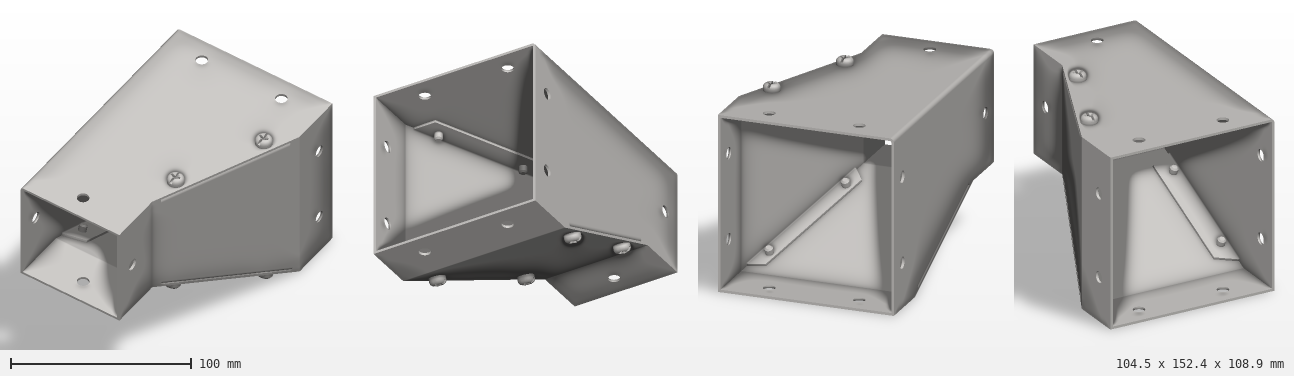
import cadquery as cq
import math

length = 152.4
wide = 104.5
narrow = 66.5
neck = 32.0
sheet = 1.5
inner_bend = 0.8
outer_bend = inner_bend + sheet
drop = wide - narrow

hole_diameter = 7.0
hole_end_distance = 12.8
side_hole_spacing = 50.7
top_hole_spacing = 53.5

flange_width = 15.0
corner_flange_width = 10.7
flange_inset = 5.8
flange_chamfer = 5.3
screw_inset = 19.4
screw_edge_distance = 6.4
shank_diameter = 4.9
shank_length = 7.3
tip_chamfer = 0.9

head_diameter = 9.8
head_height = 4.4
head_rim = 2.0
slot_width = 1.5
slot_depth = 2.1
cross_width = 1.4
cross_span = 6.0
pocket_depth = 1.8
pocket_taper = 45.0

slope_run = length - 2 * neck
slope_angle = math.atan2(drop, slope_run)
corner_shift = sheet * math.tan(slope_angle / 2)

UP = cq.Vector(0, 0, 1)
LEFT = cq.Vector(-1, 0, 0)
BACK = cq.Vector(0, 1, 0)
WALL_OUT = cq.Vector(math.cos(slope_angle), -math.sin(slope_angle), 0)
FLOOR_OUT = cq.Vector(0, -math.sin(slope_angle), -math.cos(slope_angle))


def sloping_edge(offset):
    """(along Y, across) points of the sloping side, moved inward by offset sheet thicknesses."""
    shift = offset * corner_shift
    inward = offset * sheet
    return [
        (0, narrow - inward),
        (neck + shift, narrow - inward),
        (length - neck + shift, wide - inward),
        (length, wide - inward),
    ]


def bend_radii(offset):
    """Bend radii at the narrow and wide ends of the slope, on the outer (0) or inner (1) face."""
    return (inner_bend + offset * sheet, outer_bend - offset * sheet)


def plan_prism(offset):
    """Everything inside the sloping right side, at any height."""
    points = [(0, 0)] + [(across, y) for y, across in sloping_edge(offset)] + [(0, length)]
    prism = cq.Workplane("XY").polyline(points).close().extrude(wide)
    for (y, across), radius in zip(sloping_edge(offset)[1:3], bend_radii(offset)):
        prism = prism.edges(cq.selectors.NearestToPointSelector((across, y, wide / 2))).fillet(radius)
    return prism


def elevation_prism(offset):
    """Everything above the sloping floor, at any width."""
    points = [(0, wide)] + [(y, wide - across) for y, across in sloping_edge(offset)] + [(length, wide)]
    prism = cq.Workplane("YZ").polyline(points).close().extrude(wide)
    for (y, across), radius in zip(sloping_edge(offset)[1:3], bend_radii(offset)):
        prism = prism.edges(cq.selectors.NearestToPointSelector((wide / 2, y, wide - across))).fillet(radius)
    return prism


def drill_duct(body):
    """Joint holes through opposite sides at both ends."""
    near = hole_end_distance
    far = length - hole_end_distance
    across = [
        (narrow / 2, near),
        (wide / 2 - top_hole_spacing / 2, far),
        (wide / 2 + top_hole_spacing / 2, far),
    ]
    upright = [
        (near, wide - narrow / 2),
        (far, wide / 2 - side_hole_spacing / 2),
        (far, wide / 2 + side_hole_spacing / 2),
    ]
    body = body.cut(cq.Workplane("XY").pushPoints(across).circle(hole_diameter / 2).extrude(wide))
    return body.cut(cq.Workplane("YZ").pushPoints(upright).circle(hole_diameter / 2).extrude(wide))


class Joint:
    """A sloping edge where a side is flanged against a mating sheet.

    start, end: sharp outer corner of the bend at both ends of the slope, on the mating sheet's inner face
    mate_out: outward normal of the mating sheet
    side_out: outward normal of the flanged side
    width: from the sharp corner to the flange's free edge
    """

    def __init__(self, start, end, mate_out, side_out, width):
        run = end - start
        self.width = width
        self.span = run.Length
        self.run = run.normalized()
        self.start = start
        self.mate_out = mate_out
        self.inward = mate_out.cross(self.run)
        if self.inward.dot(side_out) > 0:
            self.inward = self.inward * -1
        self.opening = math.pi - mate_out.getAngle(side_out)

    def at(self, along, inward, outward=0.0):
        """Point at these distances along the edge, into the flange and out through the mating sheet."""
        return self.start + self.run * along + self.inward * inward + self.mate_out * outward

    def section_plane(self, along):
        """Plane across the edge: x goes into the flange, y goes toward the flanged side."""
        normal = self.inward.cross(self.mate_out * -1)
        return cq.Plane(self.at(along, 0), self.inward, normal)

    def screw_places(self):
        """Seats of the screw heads on the mating sheet's outer face."""
        return [
            self.at(along, screw_edge_distance, sheet)
            for along in (screw_inset, self.span - screw_inset)
        ]


def add_flange(side, joint):
    """Bend the edge of a side inward along a joint and drill it for the screws."""
    tangent = outer_bend / math.tan(joint.opening / 2)
    toward_side = cq.Vector(math.cos(joint.opening), math.sin(joint.opening))
    side_in = cq.Vector(math.sin(joint.opening), -math.cos(joint.opening))
    bisector = cq.Vector(math.cos(joint.opening / 2), math.sin(joint.opening / 2))
    centre_distance = outer_bend / math.sin(joint.opening / 2)

    def flat(vector):
        return (vector.x, vector.y)

    outer_side = toward_side * tangent
    inner_side = outer_side + side_in * sheet
    outer_middle = bisector * (centre_distance - outer_bend)
    inner_middle = bisector * (centre_distance - inner_bend)

    plane = joint.section_plane(flange_inset)
    reach = (joint.span - 2 * flange_inset) * plane.zDir.dot(joint.run)
    bend_centre = bisector * centre_distance
    corner = (
        cq.Workplane(plane)
        .polyline([(0, 0), flat(outer_side), flat(inner_side), flat(bend_centre), (tangent, 0)])
        .close()
        .extrude(reach)
    )
    bend = (
        cq.Workplane(plane)
        .moveTo(*flat(outer_side))
        .threePointArc(flat(outer_middle), (tangent, 0))
        .lineTo(tangent, sheet)
        .threePointArc(flat(inner_middle), flat(inner_side))
        .close()
        .extrude(reach)
    )
    outline = [
        joint.at(flange_inset, tangent),
        joint.at(flange_inset + flange_chamfer, joint.width),
        joint.at(joint.span - flange_inset - flange_chamfer, joint.width),
        joint.at(joint.span - flange_inset, tangent),
    ]
    face = cq.Face.makeFromWires(cq.Wire.makePolygon(outline, close=True))
    leaf = cq.Workplane(cq.Solid.extrudeLinear(face, joint.mate_out * -sheet))
    return drill_screws(side.cut(corner).union(bend).union(leaf), joint)


def drill_screws(body, joint):
    """Clear the screw shanks through both layers of a joint."""
    for place in joint.screw_places():
        cutter = cq.Solid.makeCylinder(shank_diameter / 2, 2 * sheet, place, joint.mate_out * -1)
        body = body.cut(cq.Workplane(cutter))
    return body


def make_shell(left_joint, top_joint):
    """Left side and top, folded from one sheet."""
    block = cq.Workplane("XY").box(wide, length, wide, centered=False)
    folded_edge = "|Y and <X and >Z"
    shell = block.edges(folded_edge).fillet(outer_bend)
    hollow = block.edges(folded_edge).fillet(inner_bend).translate((sheet, 0, -sheet))
    shell = shell.cut(hollow).intersect(plan_prism(0)).intersect(elevation_prism(1))
    shell = add_flange(shell, left_joint)
    return drill_duct(drill_screws(shell, top_joint))


def make_floor(joints):
    """Sloping bottom sheet."""
    floor = elevation_prism(0).cut(elevation_prism(1)).intersect(plan_prism(0))
    for joint in joints:
        floor = drill_screws(floor, joint)
    return drill_duct(floor)


def make_wall(joints):
    """Sloping right side, between the floor and the top."""
    below_top = cq.Workplane("XY").box(wide, length, wide - sheet, centered=False)
    wall = plan_prism(0).cut(plan_prism(1)).intersect(elevation_prism(1)).intersect(below_top)
    for joint in joints:
        wall = add_flange(wall, joint)
    return drill_duct(wall)


def make_screw(place, out, slot_direction):
    """Pan head screw with a slot and a cross recess, its head seated at place."""
    rim = head_diameter / 2
    shoulder = head_height - head_rim
    crown = rim - shoulder
    half_way = math.sqrt(0.5) * shoulder
    shank = shank_diameter / 2
    screw = (
        cq.Workplane("XZ")
        .moveTo(0, head_height)
        .lineTo(crown, head_height)
        .threePointArc((crown + half_way, head_rim + half_way), (rim, head_rim))
        .lineTo(rim, 0)
        .lineTo(shank, 0)
        .lineTo(shank, tip_chamfer - shank_length)
        .lineTo(shank - tip_chamfer, -shank_length)
        .lineTo(0, -shank_length)
        .close()
        .revolve(360, (0, 0), (0, 1))
    )
    top = cq.Workplane("XY", origin=(0, 0, head_height))
    slot = top.rect(head_diameter, slot_width).extrude(-slot_depth)
    cross = top.rect(cross_width, cross_span).extrude(-slot_depth)
    pocket = top.polygon(4, cross_span).extrude(-pocket_depth, taper=pocket_taper)
    screw = screw.cut(slot).cut(cross).cut(pocket)
    return screw.val().moved(cq.Location(cq.Plane(place, slot_direction, out)))


outer_ends = sloping_edge(0)[1:3]
inner_ends = sloping_edge(1)[1:3]
widening = drop / slope_run

left_ends = [cq.Vector(0, y, wide - across) for y, across in inner_ends]
top_ends = [cq.Vector(across, y, wide - sheet) for y, across in outer_ends]
corner_ends = [cq.Vector(narrow + widening * (y - neck), y, wide - across) for y, across in inner_ends]

left_joint = Joint(*left_ends, FLOOR_OUT, LEFT, flange_width)
top_joint = Joint(*top_ends, UP, WALL_OUT, flange_width)
corner_joint = Joint(*corner_ends, FLOOR_OUT, WALL_OUT, corner_flange_width)

shell = make_shell(left_joint, top_joint)
floor = make_floor([left_joint, corner_joint])
wall = make_wall([top_joint, corner_joint])
screws = []
for joint, slot_direction in [(left_joint, LEFT), (corner_joint, LEFT), (top_joint, BACK)]:
    for place in joint.screw_places():
        screws.append(make_screw(place, joint.mate_out, slot_direction))

sheets = [body.solids().val() for body in (shell, floor, wall)]
result = cq.Compound.makeCompound([*sheets, *screws])